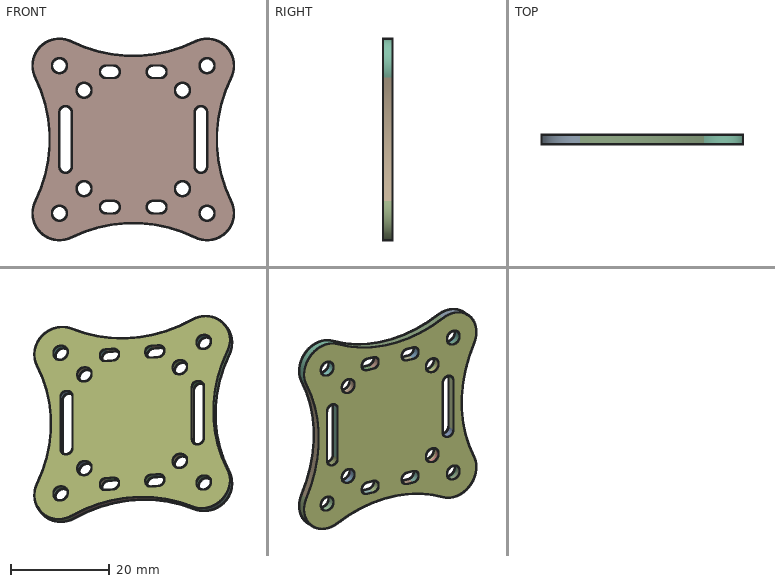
import cadquery as cq
import math

thickness = 2.0
corner_offset = 15.0
corner_radius = 5.5
waist_half_width = 17.0

hole_diameter = 3.0
inner_hole_offset = 10.0

slot_width = 2.5
slot_offset = 13.75
long_slot_length = 13.5
short_slot_length = 4.0
short_slot_spacing = 9.5

waist_depth = waist_half_width - corner_offset
edge_radius = (corner_offset**2 + waist_depth**2 - corner_radius**2) / (2 * (corner_radius - waist_depth))

tangent_fraction = corner_radius / (edge_radius + corner_radius)
tangent_along = corner_offset * (1 - tangent_fraction)
tangent_outward = corner_offset + (edge_radius + waist_depth) * tangent_fraction

lobe_tip = corner_offset + corner_radius / math.sqrt(2)


def square_pattern(offset):
    """Four points at the corners of a centred square."""
    return [(x, z) for x in (-offset, offset) for z in (-offset, offset)]


def quarter_turns(point, turns):
    """Rotate a point clockwise about the plate centre by quarter turns."""
    x, z = point
    for _ in range(turns):
        x, z = z, -x
    return (x, z)


def make_plate():
    """Plate with four concave edges blending into four round corner lobes."""
    outline = cq.Workplane("XZ").moveTo(-tangent_along, tangent_outward)
    for turns in range(4):
        waist = quarter_turns((0, waist_half_width), turns)
        lobe_start = quarter_turns((tangent_along, tangent_outward), turns)
        tip = quarter_turns((lobe_tip, lobe_tip), turns)
        lobe_end = quarter_turns((tangent_outward, tangent_along), turns)
        outline = outline.threePointArc(waist, lobe_start).threePointArc(tip, lobe_end)
    return outline.close().extrude(thickness / 2, both=True)


def cut_holes(plate):
    """Through holes at the corner lobes and on a smaller inner square."""
    centres = square_pattern(corner_offset) + square_pattern(inner_hole_offset)
    holes = cq.Workplane("XZ").pushPoints(centres).circle(hole_diameter / 2)
    return plate.cut(holes.extrude(thickness, both=True))


def cut_slots(plate, centres, length, angle):
    """Round-ended through slots; the angle is measured from X towards Z."""
    slots = cq.Workplane("XZ").pushPoints(centres).slot2D(length, slot_width, angle)
    return plate.cut(slots.extrude(thickness, both=True))


long_slot_centres = [(-slot_offset, 0), (slot_offset, 0)]
short_slot_centres = [
    (x, z)
    for x in (-short_slot_spacing / 2, short_slot_spacing / 2)
    for z in (-slot_offset, slot_offset)
]

result = make_plate()
result = cut_holes(result)
result = cut_slots(result, long_slot_centres, long_slot_length, 90)
result = cut_slots(result, short_slot_centres, short_slot_length, 0)